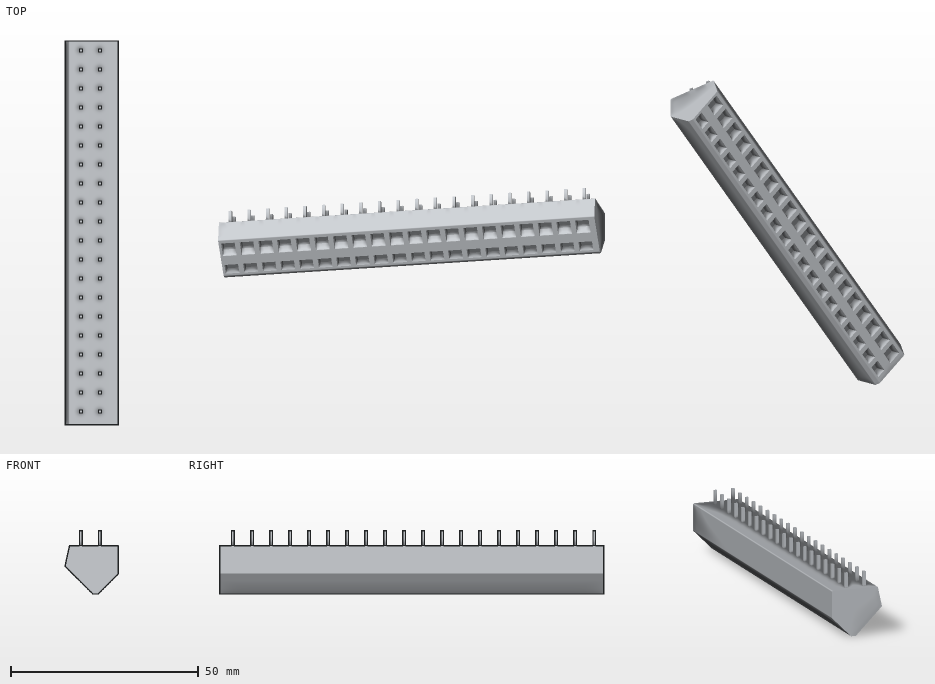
import cadquery as cq
import math

WAYS = 20
PITCH = 5.08
END_PLATE = 1.0
BODY_LENGTH = WAYS * PITCH + END_PLATE

BODY_WIDTH = 14.27
BODY_HEIGHT = 13.0
RIDGE_HEIGHT = 7.5
TOP_SETBACK = 1.2
REAR_FACE_BOTTOM = 5.45
EDGE_RADIUS = 0.3

SIDE_LEAN = math.atan2(TOP_SETBACK, BODY_HEIGHT - RIDGE_HEIGHT)
ENTRY_LEAN = math.radians(45)
RIDGE_HALF_TURN = (SIDE_LEAN + ENTRY_LEAN) / 2
RIDGE_BISECTOR_TILT = (ENTRY_LEAN - SIDE_LEAN) / 2
RIDGE_SLIVER = EDGE_RADIUS * (math.cos(RIDGE_BISECTOR_TILT) / math.cos(RIDGE_HALF_TURN) - 1)
RIDGE_X = -RIDGE_SLIVER

KEEL_START = RIDGE_X + RIDGE_HEIGHT
KEEL_END = BODY_WIDTH - REAR_FACE_BOTTOM

PIN_SIZE = 0.8
PIN_LENGTH = 4.0
PIN_EMBED = 0.5
FRONT_PIN_X = 4.2
PIN_ROWS_X = (FRONT_PIN_X, FRONT_PIN_X + PITCH)

POCKET_WIDTH = 3.7
POCKET_DEPTH = 3.2
LOWER_POCKET_Z = (0.45, 2.3)
UPPER_POCKET_Z = (4.15, 6.85)
STEP_START_Z = 4.3
STEP_END_Z = 6.2
STEP_LEAN = math.radians(12)

FIRST_WAY_Y = BODY_LENGTH / 2 - PITCH / 2
way_positions = [FIRST_WAY_Y - PITCH * way for way in range(WAYS)]


def entry_face_x(z):
    """X of the 45 degree wire-entry face at height z."""
    return KEEL_START - z


def prism(points, length, y_center):
    """Extrude an XZ outline along Y, centred on y_center."""
    sketch = cq.Workplane("XZ", origin=(0, y_center, 0)).polyline(points).close()
    return sketch.extrude(length / 2, both=True)


def make_body():
    outline = [
        (RIDGE_X, RIDGE_HEIGHT),
        (RIDGE_X + TOP_SETBACK, BODY_HEIGHT),
        (BODY_WIDTH, BODY_HEIGHT),
        (BODY_WIDTH, REAR_FACE_BOTTOM),
        (KEEL_END, 0),
        (KEEL_START, 0),
    ]
    body = prism(outline, BODY_LENGTH, 0)
    return body.edges("|Y").fillet(EDGE_RADIUS)


def make_pin(x, y):
    pin = cq.Workplane("XY", origin=(x, y, BODY_HEIGHT - PIN_EMBED)).rect(PIN_SIZE, PIN_SIZE)
    return pin.extrude(PIN_LENGTH + PIN_EMBED)


def pocket_floor(z_range):
    """Floor corners of a pocket sunk square to the entry face, lower one first."""
    sink = POCKET_DEPTH * math.sqrt(0.5)
    return [(entry_face_x(z) + sink, z + sink) for z in z_range]


def lower_pocket_outline():
    bottom, top = LOWER_POCKET_Z
    floor_bottom, floor_top = pocket_floor(LOWER_POCKET_Z)
    return [(entry_face_x(bottom), bottom), floor_bottom, floor_top, (entry_face_x(top), top)]


def upper_pocket_outline():
    bottom, top = UPPER_POCKET_Z
    step_start_x = entry_face_x(bottom) + STEP_START_Z - bottom
    step_end_x = step_start_x + (STEP_END_Z - STEP_START_Z) * math.tan(STEP_LEAN)
    floor_top = pocket_floor(UPPER_POCKET_Z)[1]
    floor_run = (floor_top[0] + floor_top[1] - step_end_x - STEP_END_Z) / 2
    return [
        (entry_face_x(bottom), bottom),
        (step_start_x, STEP_START_Z),
        (step_end_x, STEP_END_Z),
        (step_end_x + floor_run, STEP_END_Z + floor_run),
        floor_top,
        (entry_face_x(top), top),
    ]


result = make_body()
for y in way_positions:
    for outline in (lower_pocket_outline(), upper_pocket_outline()):
        result = result.cut(prism(outline, POCKET_WIDTH, y))
    for x in PIN_ROWS_X:
        result = result.union(make_pin(x, y))